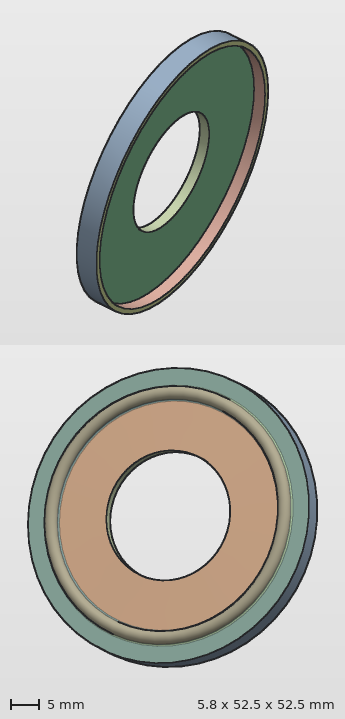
import cadquery as cq
import math

TOTAL_THICKNESS = 5.8
RIM_DIAMETER = 52.5
BORE_DIAMETER = 23.1

BEAD_HEIGHT = 1.55
BEAD_MEAN_DIAMETER = 43.6
BEAD_WIDTH = 2.35
BEAD_FOOT_FILLET = 0.24

CROWN_HEIGHT = 0.15
BORE_LENGTH = 2.05
LIP_THICKNESS = 1.0

rim_thickness = TOTAL_THICKNESS - BEAD_HEIGHT
rim_radius = RIM_DIAMETER / 2
bore_radius = BORE_DIAMETER / 2
recess_radius = rim_radius - LIP_THICKNESS
web_back = BORE_LENGTH - CROWN_HEIGHT

bead_mean_radius = BEAD_MEAN_DIAMETER / 2
bead_round = BEAD_WIDTH / 2
bead_inner_radius = bead_mean_radius - bead_round
bead_outer_radius = bead_mean_radius + bead_round
bead_shoulder = bead_round - BEAD_HEIGHT
foot_inner_radius = bead_inner_radius - BEAD_FOOT_FILLET
foot_outer_radius = bead_outer_radius + BEAD_FOOT_FILLET
foot_mid_offset = BEAD_FOOT_FILLET * (1 - math.sqrt(0.5))


def revolve_about_x(profile):
    """Turn a closed (x, radius) outline into a full ring about the X axis."""
    return profile.revolve(360, (0, 0, 0), (1, 0, 0))


def make_body():
    """Web with a slightly conical front face and a lip around its back."""
    outline = (
        cq.Workplane("XY")
        .moveTo(-CROWN_HEIGHT, bore_radius)
        .lineTo(0, foot_inner_radius)
        .lineTo(0, rim_radius)
        .lineTo(rim_thickness, rim_radius)
        .lineTo(rim_thickness, recess_radius)
        .lineTo(web_back, recess_radius)
        .lineTo(web_back, bore_radius)
        .close()
    )
    return revolve_about_x(outline)


def make_bead():
    """Round-topped sealing bead blended into the front face."""
    outline = (
        cq.Workplane("XY")
        .moveTo(web_back, foot_inner_radius)
        .lineTo(0, foot_inner_radius)
        .threePointArc(
            (-foot_mid_offset, bead_inner_radius - foot_mid_offset),
            (-BEAD_FOOT_FILLET, bead_inner_radius),
        )
        .lineTo(bead_shoulder, bead_inner_radius)
        .threePointArc((-BEAD_HEIGHT, bead_mean_radius), (bead_shoulder, bead_outer_radius))
        .lineTo(-BEAD_FOOT_FILLET, bead_outer_radius)
        .threePointArc(
            (-foot_mid_offset, bead_outer_radius + foot_mid_offset),
            (0, foot_outer_radius),
        )
        .lineTo(web_back, foot_outer_radius)
        .close()
    )
    return revolve_about_x(outline)


result = make_body().union(make_bead())